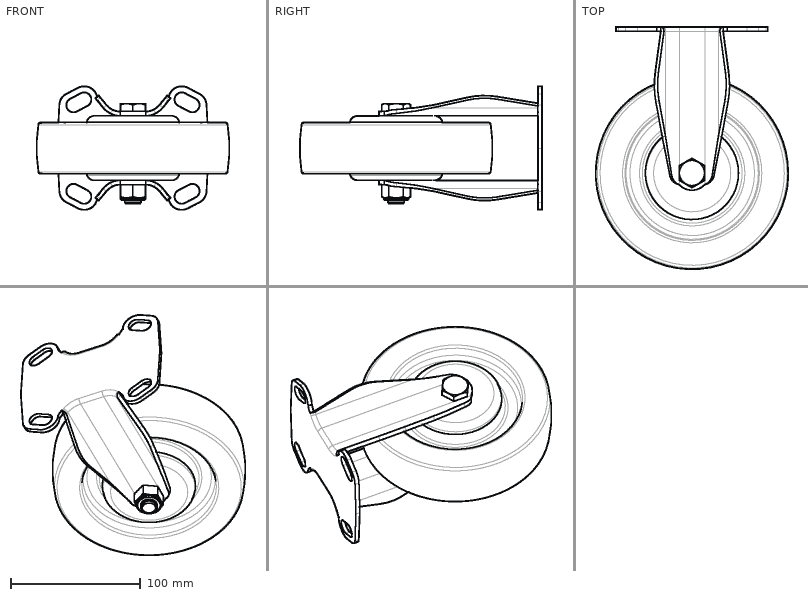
import cadquery as cq
import math


tolerance = 0.02

wheel_radius = 74.7
tread_edge_radius = 73.0
wheel_half_width = 19.9
tread_fillet = 2.0
recess_top_radius = 52.2
recess_bottom_radius = 50.9
recess_top_fillet = 1.9
recess_bottom_fillet = 3.0
web_half_thickness = 8.3
hub_base_radius = 39.5
hub_top_radius = 32.5
hub_base_fillet = 2.6
hub_half_length = 17.8

cap_half_span = 25.0
cap_flat_radius = 29.9
cap_rim_radius = 35.7
cap_radius = 36.0
cap_rim_drop = 4.1

bolt_radius = 6.4
hex_flats = 19.5
hex_corners = hex_flats / math.cos(math.pi / 6)
hex_chamfer_angle = math.radians(30)
head_height = 6.0
nut_hex_height = 10.1
nut_collar_height = 1.7
nut_collar_chamfer = 1.0
thread_stick_out = 3.0
thread_chamfer = 1.1

sheet = 3.4
leg_half_flat = hex_flats / 2
bend_radius = 13.9
bend_angle = math.radians(50.5)
leg_tip_radius = 13.3
plate_back = 113.0
plate_front = plate_back - sheet
leg_outer = cap_half_span + sheet
bend_outer_radius = bend_radius + sheet
bend_centre_z = leg_outer + bend_radius
fold_radius = 3.2

tip_corner_y = -math.sqrt(leg_tip_radius**2 - leg_half_flat**2)
shoulder_half_width = 17.5
shoulder_sag = 2.0
bend_end_half_width = leg_half_flat + bend_outer_radius * math.sin(bend_angle)
bend_end_y = 28.5
crest_half_width = 30.0
crest_y = 66.7
crest_fillet = 47.0
root_half_width = 24.2

trim_steps = 5

plate_half_width = 58.8
plate_corner_x = 56.9
plate_corner_z = 36.2
plate_half_height = 47.9
slot_inner = (37.7, 37.5)
slot_outer = (46.0, 33.2)
slot_radius = 5.5
lug_radius = plate_half_height - slot_inner[1]
lug_slope = math.radians(27.5)


def ring_fillet(body, radius, z, size):
    """Round the circular edges of the given radius at heights +z and -z."""
    rings = body.edges("%CIRCLE").filter(
        lambda e: abs(e.radius() - radius) < tolerance and abs(abs(e.Center().z) - z) < tolerance
    )
    return rings.fillet(size)


def make_wheel():
    """Crowned wheel with a recessed web and a tapered hub on each side."""
    half_profile = [
        (recess_top_radius, wheel_half_width),
        (recess_bottom_radius, web_half_thickness),
        (hub_base_radius, web_half_thickness),
        (hub_top_radius, hub_half_length),
        (bolt_radius, hub_half_length),
    ]
    lower_profile = [(r, -z) for r, z in reversed(half_profile)]
    body = (
        cq.Workplane("XZ")
        .moveTo(tread_edge_radius, -wheel_half_width)
        .threePointArc((wheel_radius, 0), (tread_edge_radius, wheel_half_width))
        .polyline(half_profile + lower_profile, includeCurrent=True)
        .close()
        .revolve(360, (0, 0, 0), (0, 1, 0))
    )
    body = ring_fillet(body, tread_edge_radius, wheel_half_width, tread_fillet)
    body = ring_fillet(body, recess_top_radius, wheel_half_width, recess_top_fillet)
    body = ring_fillet(body, recess_bottom_radius, web_half_thickness, recess_bottom_fillet)
    return ring_fillet(body, hub_base_radius, web_half_thickness, hub_base_fillet)


def make_cap(side):
    """Hub cap on the +Z (side = 1) or -Z (side = -1) end of the hub."""
    cap = (
        cq.Workplane("XZ")
        .moveTo(bolt_radius, hub_half_length)
        .lineTo(bolt_radius, cap_half_span)
        .lineTo(cap_flat_radius, cap_half_span)
        .tangentArcPoint((cap_rim_radius, cap_half_span - cap_rim_drop), relative=False)
        .lineTo(cap_radius, hub_half_length)
        .close()
        .revolve(360, (0, 0, 0), (0, 1, 0))
    )
    return cap if side > 0 else cap.mirror("XY")


def make_hexagon(height):
    """Hexagon on Z = 0 with corners on the Y axis and its top corners turned down."""
    prism = cq.Workplane("XY").polygon(6, hex_corners).extrude(height)
    prism = prism.rotate((0, 0, 0), (0, 0, 1), 90)
    flat_radius = hex_flats / 2
    drop = (hex_corners / 2 - flat_radius) * math.tan(hex_chamfer_angle)
    turned = (
        cq.Workplane("XZ")
        .lineTo(hex_corners / 2, 0)
        .lineTo(hex_corners / 2, height - drop)
        .lineTo(flat_radius, height)
        .lineTo(0, height)
        .close()
        .revolve(360, (0, 0, 0), (0, 1, 0))
    )
    return prism.intersect(turned)


def make_bolt():
    """Bolt with its head on the upper leg and its thread passing below the lower leg."""
    shank_end = leg_outer + nut_hex_height + nut_collar_height + thread_stick_out
    shank = (
        cq.Workplane("XY")
        .workplane(offset=-shank_end)
        .circle(bolt_radius)
        .extrude(shank_end + leg_outer)
        .faces("<Z")
        .chamfer(thread_chamfer)
    )
    head = make_hexagon(head_height).translate((0, 0, leg_outer))
    return shank.union(head)


def make_nut():
    """Nut under the lower leg, with a round locking collar below its hexagon."""
    collar = (
        cq.Workplane("XY")
        .circle(hex_flats / 2)
        .extrude(nut_hex_height + nut_collar_height)
        .faces(">Z")
        .chamfer(nut_collar_chamfer)
    )
    nut = make_hexagon(nut_hex_height).union(collar).faces(">Z").workplane().hole(2 * bolt_radius)
    return nut.mirror("XY").translate((0, 0, -leg_outer))


def bend_point(radius, angle):
    """Point in the XZ plane on the bend, by distance from its axis and angle turned."""
    return (leg_half_flat + radius * math.sin(angle), bend_centre_z - radius * math.cos(angle))


def flange_point(radius, length):
    """Point on the flange, a length beyond the end of the bend."""
    x, z = bend_point(radius, bend_angle)
    return (x + length * math.cos(bend_angle), z + length * math.sin(bend_angle))


def flange_length(half_width):
    """Flange length beyond the bend for a half-width of the inner face."""
    return (half_width - bend_end_half_width) / math.cos(bend_angle)


def make_wing():
    """Bend and flange on the +X side, before its edge is trimmed."""
    half_angle = bend_angle / 2
    untrimmed_length = 2 * flange_length(crest_half_width)
    return (
        cq.Workplane("XZ", origin=(0, plate_front, 0))
        .moveTo(leg_half_flat, cap_half_span)
        .threePointArc(bend_point(bend_outer_radius, half_angle), bend_point(bend_outer_radius, bend_angle))
        .lineTo(*flange_point(bend_outer_radius, untrimmed_length))
        .lineTo(*flange_point(bend_radius, untrimmed_length))
        .lineTo(*bend_point(bend_radius, bend_angle))
        .threePointArc(bend_point(bend_radius, half_angle), (leg_half_flat, leg_outer))
        .close()
        .extrude(plate_front - tip_corner_y)
    )


def flange_trim():
    """Cutter square to the flange, leaving the crested outline of its edge."""
    bend_end_x, bend_end_z = bend_point(bend_outer_radius, bend_angle)
    crest_length = flange_length(crest_half_width)
    crest_x, crest_z = flange_point(bend_outer_radius, crest_length)
    plane = cq.Plane(
        origin=(bend_end_x, 0, bend_end_z),
        xDir=(math.cos(bend_angle), 0, math.sin(bend_angle)),
        normal=(-math.sin(bend_angle), 0, math.cos(bend_angle)),
    )
    beyond = 3 * crest_length
    cutter = (
        cq.Workplane(plane)
        .polyline(
            [
                (0, bend_end_y),
                (crest_length, crest_y),
                (flange_length(root_half_width), plate_front),
                (beyond, plate_front),
                (beyond, bend_end_y),
            ]
        )
        .close()
        .extrude(2 * sheet, both=True)
    )
    square_edges = cutter.edges(cq.selectors.ParallelDirSelector(plane.zDir))
    crest_edge = square_edges.edges(cq.selectors.NearestToPointSelector((crest_x, crest_y, crest_z)))
    return crest_edge.fillet(crest_fillet)


def bend_trim(stations):
    """Cutter whose trimming face stays square to the bend through (y, half-width) stations."""
    reach = 2 * bend_outer_radius
    sections = []
    for y, half_width in stations:
        angle = math.asin((half_width - leg_half_flat) / bend_outer_radius)
        plane = cq.Plane(
            origin=(leg_half_flat, y, bend_centre_z),
            xDir=(math.sin(angle), 0, -math.cos(angle)),
            normal=(0, -1, 0),
        )
        corners = [(-reach, 0), (reach, 0), (reach, reach), (-reach, reach)]
        sections.append(cq.Workplane(plane).polyline(corners).close().val())
    return cq.Workplane(cq.Solid.makeLoft(sections))


def shoulder_stations():
    """Stations on a parabola bulging by shoulder_sag between the leg tip and the straight side."""
    dx = shoulder_half_width - leg_half_flat
    dy = -tip_corner_y
    chord = math.hypot(dx, dy)
    stations = []
    for i in range(trim_steps + 1):
        t = i / trim_steps
        bulge = 4 * shoulder_sag * t * (1 - t)
        y = tip_corner_y + dy * t - bulge * dx / chord
        half_width = leg_half_flat + dx * t + bulge * dy / chord
        stations.append((y, half_width))
    return stations


def side_stations():
    """Stations on the straight side of the leg, up to where it leaves the bend."""
    spread = bend_end_half_width - shoulder_half_width
    parts = [i / trim_steps for i in range(trim_steps + 1)]
    return [(bend_end_y * t, shoulder_half_width + spread * t) for t in parts]


def make_leg():
    """Upper leg: a flat strip with a rounded tip and a wing on each side."""
    strip = (
        cq.Workplane("XY")
        .workplane(offset=cap_half_span)
        .moveTo(leg_half_flat, plate_front)
        .lineTo(leg_half_flat, tip_corner_y)
        .threePointArc((0, -leg_tip_radius), (-leg_half_flat, tip_corner_y))
        .lineTo(-leg_half_flat, plate_front)
        .close()
        .extrude(sheet)
    )
    wing = make_wing().cut(flange_trim())
    for stations in (side_stations(), shoulder_stations()):
        wing = wing.cut(bend_trim(stations))
    return strip.union(wing).union(wing.mirror("YZ"))


def make_plate_quarter():
    """Quarter of the plate in +X, +Z: its edge follows the leg, then runs around the lug."""
    root_length = flange_length(root_half_width)
    lug_top = (
        slot_inner[0] + lug_radius * math.sin(lug_slope),
        slot_inner[1] + lug_radius * math.cos(lug_slope),
    )
    corner = (plate_corner_x, lug_top[1] - (plate_corner_x - lug_top[0]) * math.tan(lug_slope))
    quarter = (
        cq.Workplane("XZ", origin=(0, plate_back, 0))
        .lineTo(0, leg_outer)
        .lineTo(leg_half_flat, leg_outer)
        .threePointArc(bend_point(bend_radius, bend_angle / 2), bend_point(bend_radius, bend_angle))
        .lineTo(*flange_point(bend_radius, root_length))
        .lineTo(*flange_point(bend_outer_radius, root_length))
        .lineTo(slot_inner[0] - lug_radius, slot_inner[1])
        .threePointArc((slot_inner[0], plate_half_height), lug_top)
        .lineTo(*corner)
        .lineTo(plate_corner_x, plate_corner_z)
        .lineTo(plate_half_width, 0)
        .close()
        .extrude(sheet)
    )
    corner_edge = cq.selectors.NearestToPointSelector((corner[0], plate_back - sheet / 2, corner[1]))
    quarter = quarter.edges(corner_edge).fillet(lug_radius)
    flange_root_x = flange_point(bend_radius, root_length)[0]
    fold_edges = quarter.faces(">Y").edges().filter(
        lambda e: e.Center().x < flange_root_x and e.Center().z > leg_outer - tolerance
    )
    return fold_edges.fillet(fold_radius).cut(make_slot())


def make_slot():
    """Cutter for the bolt slot of one lug."""
    dx = slot_outer[0] - slot_inner[0]
    dz = slot_outer[1] - slot_inner[1]
    middle = ((slot_inner[0] + slot_outer[0]) / 2, (slot_inner[1] + slot_outer[1]) / 2)
    return (
        cq.Workplane("XZ", origin=(0, plate_back, 0))
        .center(*middle)
        .slot2D(math.hypot(dx, dz) + 2 * slot_radius, 2 * slot_radius, math.degrees(math.atan2(dz, dx)))
        .extrude(sheet)
    )


def make_bracket():
    """Plate and both legs, bent from one sheet, with the bolt hole through the legs."""
    quarter = make_plate_quarter()
    half_plate = quarter.union(quarter.mirror("YZ"))
    half = half_plate.union(make_leg())
    bracket = half.union(half.mirror("XY"))
    bolt_hole = cq.Workplane("XY").circle(bolt_radius).extrude(2 * leg_outer, both=True)
    return bracket.cut(bolt_hole)


wheel = make_wheel()
caps = [make_cap(side) for side in (1, -1)]
bolt = make_bolt()
nut = make_nut()
bracket = make_bracket()

result = cq.Compound.makeCompound(
    [bracket.val(), wheel.val(), *[cap.val() for cap in caps], bolt.val(), nut.val()]
)